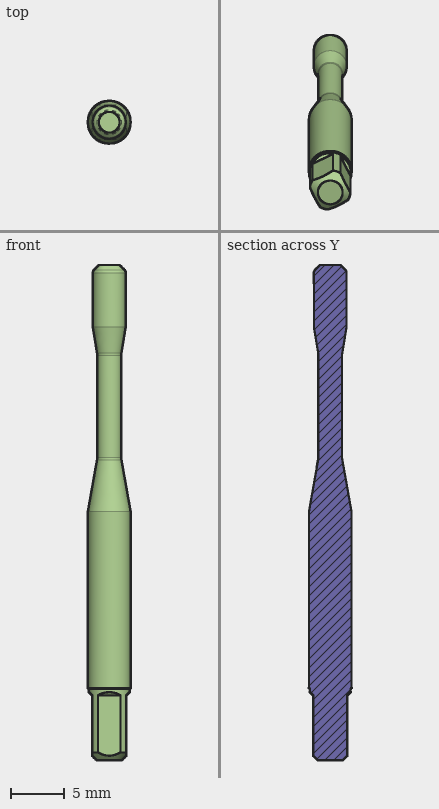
import cadquery as cq

total_length = 46.1
body_diameter = 4.0
neck_diameter = 2.25
head_diameter = 3.1

shank_diameter = 3.83
square_width = 3.2
flat_length = 6.05
shank_length = 6.65
shank_end_radius = 1.15

body_top = 23.15
neck_bottom = 28.07
neck_top = 37.8
head_bottom = 40.35

tip_chamfer = 0.575
tip_blend_radius = 0.39
neck_blend_radius = 1.5

body_radius = body_diameter / 2
neck_radius = neck_diameter / 2
head_radius = head_diameter / 2
shank_radius = shank_diameter / 2
half_square = square_width / 2


def turned_pin():
    """Revolve the stepped profile; all end and shoulder bevels are 45 degrees."""
    end_bevel = shank_radius - shank_end_radius
    shoulder_bevel = body_radius - shank_radius
    profile = [
        (0, 0),
        (shank_end_radius, 0),
        (shank_radius, end_bevel),
        (shank_radius, shank_length),
        (body_radius, shank_length + shoulder_bevel),
        (body_radius, body_top),
        (neck_radius, neck_bottom),
        (neck_radius, neck_top),
        (head_radius, head_bottom),
        (head_radius, total_length - tip_chamfer),
        (head_radius - tip_chamfer, total_length),
        (0, total_length),
    ]
    return cq.Workplane("XZ").polyline(profile).close().revolve(360, (0, 0), (0, 1))


def circle_edge_at(height):
    """Select the circular edge at the given height on the axis."""
    margin = 0.05
    return cq.selectors.BoxSelector(
        (-body_radius, -body_radius, height - margin),
        (body_radius, body_radius, height + margin),
        boundingbox=True,
    )


def drive_flat_cutter():
    """Material beyond the +X drive flat, with a 45 degree run-out at its top."""
    overshoot = 0.45
    outer = body_radius + overshoot
    profile = [
        (half_square, -overshoot),
        (outer, -overshoot),
        (outer, flat_length + outer - half_square),
        (half_square, flat_length),
    ]
    return cq.Workplane("XZ").polyline(profile).close().extrude(body_radius, both=True)


result = turned_pin()

for height in (neck_bottom, neck_top):
    result = result.edges(circle_edge_at(height)).fillet(neck_blend_radius)
result = result.edges(circle_edge_at(total_length - tip_chamfer)).fillet(tip_blend_radius)

for angle in (0, 90, 180, 270):
    result = result.cut(drive_flat_cutter().rotate((0, 0, 0), (0, 0, 1), angle))